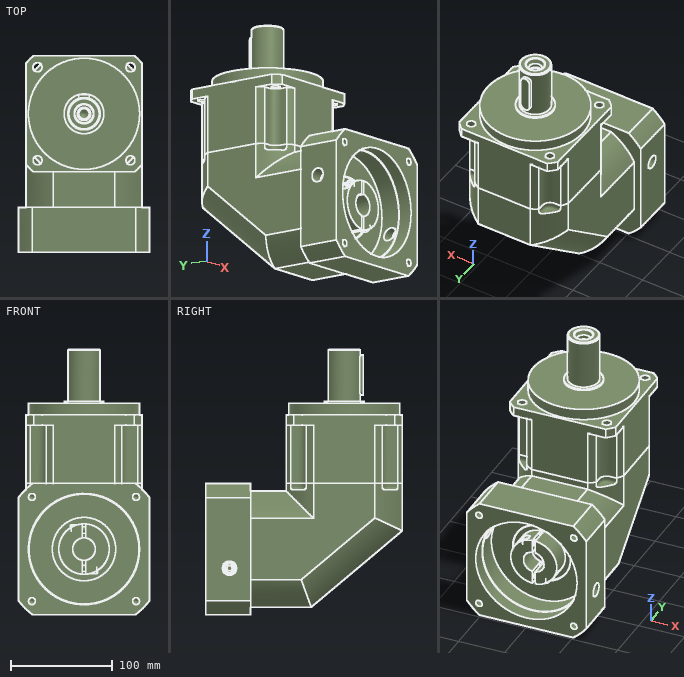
import cadquery as cq
import math


OVERALL_HEIGHT = 262.5

BODY_WIDTH = 115.0
BODY_ROUND_DIA = 130.0
HALF_BODY = BODY_WIDTH / 2

INPUT_WIDTH = 130.0
INPUT_ROUND_DIA = 165.0
INPUT_FRONT_Y = -137.0
INPUT_THICKNESS = 44.5
INPUT_BACK_Y = INPUT_FRONT_Y + INPUT_THICKNESS
PILOT_DIA = 110.0
PILOT_DEPTH = 15.0
CAVITY_DIA = 108.7
CAVITY_DEPTH = 36.0
SPIGOT_DIA = 62.7
SPIGOT_DEPTH = 38.0
INPUT_HOLE_OFFSET = 51.5
INPUT_HOLE_DIA = 6.8
INPUT_HOLE_DEPTH = 20.0
ACCESS_HOLE_DIA = 14.0

HUB_DIA = 50.0
HUB_BORE_DIA = 22.3
HUB_FRONT_DEPTH = 17.5
HUB_SLOT_WIDTH = 3.2
SCREW_OFFSET = 19.0
SCREW_DEPTH = 23.5
SCREW_DIA = 6.0
SCREW_LENGTH = 23.5
SCREW_HEAD_DIA = 10.5
SCREW_HEAD_HEIGHT = 6.0
SCREW_HEAD_CHAMFER = 0.8
SCREW_HEAD_END = 13.5
SOCKET_SIZE = 5.0
SOCKET_DEPTH = 3.2
HUB_FRONT_Y = INPUT_FRONT_Y + HUB_FRONT_DEPTH
HUB_LENGTH = SPIGOT_DEPTH - HUB_FRONT_DEPTH
HUB_SLOT_DEPTH = CAVITY_DEPTH - HUB_FRONT_DEPTH
SCREW_Y = INPUT_FRONT_Y + SCREW_DEPTH

JOINT_Z = INPUT_WIDTH / 2
PLATE_BOTTOM_Z = 122.5
PLATE_TOP_Z = 132.5
PLATE_ROUND_DIA = 152.2
PLATE_HOLE_OFFSET = 46.0
PLATE_HOLE_DIA = 9.0
CENTERING_DIA = 110.0
CENTERING_TOP_Z = 144.5
COLLAR_DIA = 39.5
COLLAR_HEIGHT = 1.5

POCKET_WALL_OFFSET = 37.5
POCKET_BOTTOM_Z = 58.5
POCKET_FLOOR_FILLET = 3.0
POCKET_ROUND = PLATE_HOLE_OFFSET - POCKET_WALL_OFFSET

SHAFT_DIA = 32.0
SHAFT_END_Z = OVERALL_HEIGHT - INPUT_WIDTH / 2
SHAFT_CHAMFER = 1.0
KEY_WIDTH = 10.0
KEY_LENGTH = 40.0
KEY_OUTER_Y = 19.0
KEY_HEIGHT = 8.0
KEY_END_GAP = 5.5
CENTER_MOUTH_DIA = 19.7
CENTER_CONE_DIA = 18.0
CENTER_RELIEF_DIA = 13.0
CENTER_THREAD_DIA = 10.2
CENTER_RELIEF_DEPTH = 9.5
CENTER_HOLE_DEPTH = 29.0

SLOPE_ANGLE = 40
SLOPE_START_Z = 18.0

DRILL_POINT_ANGLE = 118
BIG = 525


def rounded_block(width, round_dia, length, plane):
    """Square bar along the plane normal, with its four edges turned down to a circle."""
    bar = plane.rect(width, width).extrude(length)
    return bar.intersect(plane.circle(round_dia / 2).extrude(length))


def level(z):
    """Workplane facing up at height z."""
    return cq.Workplane("XY", origin=(0, 0, z))


def facing_input(y):
    """Workplane at the given y whose normal points along +Y, into the gearbox."""
    return cq.Workplane("XZ", origin=(0, y, 0)).transformed(rotate=(180, 0, 0))


def cylinder(diameter, length, start, direction):
    return cq.Workplane(cq.Solid.makeCylinder(diameter / 2, length, cq.Vector(*start), cq.Vector(*direction)))


def corner_points(offset):
    return [(sx * offset, sy * offset) for sx in (-1, 1) for sy in (-1, 1)]


def make_corner_pockets():
    """Four square pockets with a rounded inner edge and a filleted floor."""
    size = BODY_WIDTH - POCKET_WALL_OFFSET
    middle = POCKET_WALL_OFFSET + size / 2
    pocket = (
        level(POCKET_BOTTOM_Z)
        .center(middle, middle)
        .rect(size, size)
        .extrude(PLATE_BOTTOM_Z - POCKET_BOTTOM_Z)
        .edges("|Z")
        .fillet(POCKET_ROUND)
        .faces("<Z")
        .edges()
        .fillet(POCKET_FLOOR_FILLET)
    )
    turned = [pocket.rotate((0, 0, 0), (0, 0, 1), 90 * quarter).val() for quarter in range(4)]
    return cq.Workplane(cq.Compound.makeCompound(turned))


def make_shaft():
    shaft = (
        level(CENTERING_TOP_Z)
        .circle(SHAFT_DIA / 2)
        .extrude(SHAFT_END_Z - CENTERING_TOP_Z)
        .faces(">Z")
        .edges()
        .chamfer(SHAFT_CHAMFER)
    )
    key = (
        cq.Workplane("XZ", origin=(0, KEY_OUTER_Y, SHAFT_END_Z - KEY_END_GAP - KEY_LENGTH / 2))
        .slot2D(KEY_LENGTH, KEY_WIDTH, 90)
        .extrude(KEY_HEIGHT)
    )
    return shaft.union(key).cut(make_center_hole())


def make_center_hole():
    """Turned profile: 120 degree mouth, 60 degree centring cone, relief, thread core and drill point."""
    mouth_depth = (CENTER_MOUTH_DIA - CENTER_CONE_DIA) / 2 / math.tan(math.radians(60))
    cone_depth = mouth_depth + (CENTER_CONE_DIA - CENTER_RELIEF_DIA) / 2 / math.tan(math.radians(30))
    tip_depth = CENTER_HOLE_DEPTH + drill_point_length(CENTER_THREAD_DIA)
    profile = [
        (0, 0),
        (CENTER_MOUTH_DIA / 2, 0),
        (CENTER_CONE_DIA / 2, -mouth_depth),
        (CENTER_RELIEF_DIA / 2, -cone_depth),
        (CENTER_RELIEF_DIA / 2, -CENTER_RELIEF_DEPTH),
        (CENTER_THREAD_DIA / 2, -CENTER_RELIEF_DEPTH),
        (CENTER_THREAD_DIA / 2, -CENTER_HOLE_DEPTH),
        (0, -tip_depth),
    ]
    return (
        cq.Workplane("XZ", origin=(0, 0, SHAFT_END_Z))
        .polyline(profile)
        .close()
        .revolve(360, (0, 0), (0, 1))
    )


def drill_point_length(diameter):
    return diameter / 2 / math.tan(math.radians(DRILL_POINT_ANGLE / 2))


def make_output_housing(pockets):
    barrel = rounded_block(BODY_WIDTH, BODY_ROUND_DIA, PLATE_BOTTOM_Z - JOINT_Z, level(JOINT_Z)).cut(pockets)
    plate = rounded_block(BODY_WIDTH, PLATE_ROUND_DIA, PLATE_TOP_Z - PLATE_BOTTOM_Z, level(PLATE_BOTTOM_Z))
    plate_holes = (
        level(PLATE_BOTTOM_Z)
        .pushPoints(corner_points(PLATE_HOLE_OFFSET))
        .circle(PLATE_HOLE_DIA / 2)
        .extrude(PLATE_TOP_Z - PLATE_BOTTOM_Z)
    )
    centering = level(PLATE_TOP_Z).circle(CENTERING_DIA / 2).extrude(CENTERING_TOP_Z - PLATE_TOP_Z)
    collar = level(CENTERING_TOP_Z).circle(COLLAR_DIA / 2).extrude(COLLAR_HEIGHT)
    return barrel.union(plate.cut(plate_holes)).union(centering).union(collar).union(make_shaft())


def make_slope_envelope():
    """Bar along the slope, round-edged on its outer side and plain on the side that faces the legs."""
    angle = math.radians(SLOPE_ANGLE)
    along = cq.Vector(0, math.cos(angle), math.sin(angle))
    outward = cq.Vector(0, math.sin(angle), -math.cos(angle))
    axis_point = cq.Vector(0, HALF_BODY, SLOPE_START_Z) - outward * HALF_BODY
    plane = cq.Plane(origin=axis_point - along * (BIG / 2), xDir=(1, 0, 0), normal=along)
    outer_side = rounded_block(BODY_WIDTH, BODY_ROUND_DIA, BIG, cq.Workplane(plane))
    inner_side = cq.Workplane(plane).center(0, -BIG / 2).rect(BODY_WIDTH, BIG).extrude(BIG)
    return outer_side.union(inner_side)


def miter_half(side):
    """Everything on one side of the 45 degree mitre plane: side is 1 for the upright, -1 for the arm."""
    corners = [(-BIG, BIG), (BIG, -BIG), (side * BIG, side * BIG)]
    return cq.Workplane("YZ").polyline(corners).close().extrude(BIG, both=True)


def make_elbow(pockets):
    """Two legs mitred at 45 degrees, with the outer corner cut by a round-edged slope, and a spigot."""
    upright = rounded_block(BODY_WIDTH, BODY_ROUND_DIA, JOINT_Z + HALF_BODY, level(-HALF_BODY))
    arm = rounded_block(BODY_WIDTH, BODY_ROUND_DIA, HALF_BODY - INPUT_BACK_Y, facing_input(INPUT_BACK_Y))
    legs = upright.intersect(miter_half(1)).union(arm.intersect(miter_half(-1)))
    spigot_length = INPUT_THICKNESS - SPIGOT_DEPTH
    spigot = facing_input(INPUT_FRONT_Y + SPIGOT_DEPTH).circle(SPIGOT_DIA / 2).extrude(spigot_length)
    return legs.intersect(make_slope_envelope()).cut(pockets).union(spigot)


def make_input_flange():
    block = rounded_block(INPUT_WIDTH, INPUT_ROUND_DIA, INPUT_THICKNESS, facing_input(INPUT_FRONT_Y))
    front = facing_input(INPUT_FRONT_Y)
    pilot = front.circle(PILOT_DIA / 2).extrude(PILOT_DEPTH)
    cavity = front.circle(CAVITY_DIA / 2).extrude(CAVITY_DEPTH)
    spigot_bore = front.circle(SPIGOT_DIA / 2).extrude(INPUT_THICKNESS)
    flange = block.cut(pilot).cut(cavity).cut(spigot_bore)
    for x, z in corner_points(INPUT_HOLE_OFFSET):
        flange = flange.cut(make_input_hole(x, z))
    for side in (-1, 1):
        start = (0, SCREW_Y, -side * SCREW_OFFSET)
        flange = flange.cut(cylinder(ACCESS_HOLE_DIA, INPUT_WIDTH, start, (side, 0, 0)))
    return flange


def make_input_hole(x, z):
    """Blind tapped hole with a drill point."""
    radius = INPUT_HOLE_DIA / 2
    start = cq.Vector(x, INPUT_FRONT_Y, z)
    inward = cq.Vector(0, 1, 0)
    bore = cq.Solid.makeCylinder(radius, INPUT_HOLE_DEPTH, start, inward)
    tip_start = start + inward * INPUT_HOLE_DEPTH
    tip = cq.Solid.makeCone(radius, 0, drill_point_length(INPUT_HOLE_DIA), tip_start, inward)
    return cq.Workplane(bore).union(cq.Workplane(tip))


def add_clamp_screw(hub, side):
    """Socket screw across the hub, with its head in a counterbore that opens toward the given X side."""
    head_end = (side * SCREW_HEAD_END, SCREW_Y, -side * SCREW_OFFSET)
    head_seat = (side * (SCREW_HEAD_END - SCREW_HEAD_HEIGHT), SCREW_Y, -side * SCREW_OFFSET)
    outward = (side, 0, 0)
    inward = (-side, 0, 0)
    end_face = ">X" if side > 0 else "<X"
    counterbore = cylinder(SCREW_HEAD_DIA, HUB_DIA, head_seat, outward)
    head = cylinder(SCREW_HEAD_DIA, SCREW_HEAD_HEIGHT, head_seat, outward)
    head = head.faces(end_face).edges().chamfer(SCREW_HEAD_CHAMFER)
    shank = cylinder(SCREW_DIA, SCREW_LENGTH, head_end, inward)
    socket = (
        cq.Workplane(cq.Plane(origin=head_end, xDir=(0, 0, 1), normal=inward))
        .polygon(6, SOCKET_SIZE, circumscribed=True)
        .extrude(SOCKET_DEPTH)
    )
    return hub.cut(counterbore).union(head).union(shank).cut(socket)


def make_clamp_hub():
    """Split hub with its two clamping screws, one above and one below the bore."""
    front = facing_input(HUB_FRONT_Y)
    hub = front.circle(HUB_DIA / 2).circle(HUB_BORE_DIA / 2).extrude(HUB_LENGTH)
    hub = hub.cut(front.rect(HUB_SLOT_WIDTH, HUB_DIA).extrude(HUB_SLOT_DEPTH))
    for side in (-1, 1):
        hub = add_clamp_screw(hub, side)
    return hub


corner_pockets = make_corner_pockets()
output_housing = make_output_housing(corner_pockets)
elbow = make_elbow(corner_pockets)
input_flange = make_input_flange()
clamp_hub = make_clamp_hub()

result = cq.Compound.makeCompound(
    [output_housing.val(), elbow.val(), input_flange.val(), clamp_hub.val()]
)